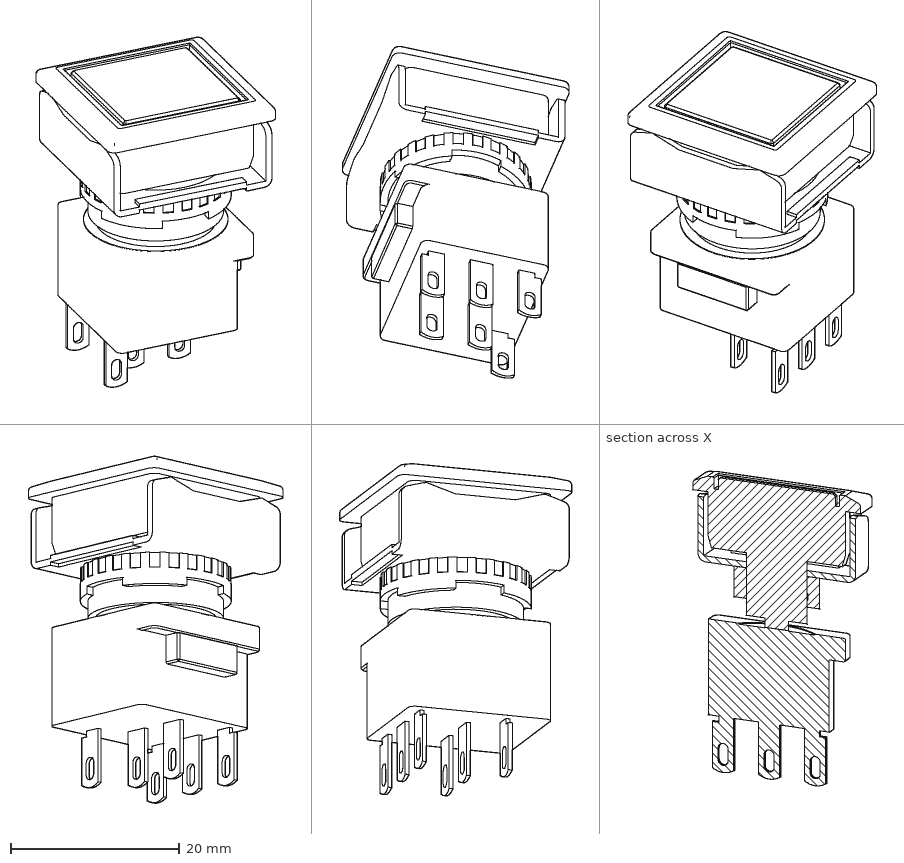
import cadquery as cq
BLOCK_BOTTOM_Z = 6.97
BLOCK_TOP_Z = 19.05
NECK_TOP_Z = 20.1
NUT_BOTTOM_Z = 22.2
CLIP_BOTTOM_Z = 26.05
TAPER_BOTTOM_Z = 27.95
TAPER_TOP_Z = 29.37
BEZEL_BOTTOM_Z = 34.87
RIM_Z = 36.9

BEZEL_WIDTH = 22.0
BEZEL_EDGE_Z = 36.05
RIM_WIDTH = 18.0
BEZEL_CORNER_RADIUS = 1.0
BEZEL_EDGE_RADIUS = 0.5
OPENING_WIDTH = 16.3
OPENING_CHAMFER = 0.15
BUTTON_WIDTH = 15.35
BUTTON_CHAMFER = 0.3
BUTTON_CORNER_CHAMFER = 0.25
GROOVE_DEPTH = 1.48
BODY_WIDTH = 18.0
BODY_CORNER_RADIUS = 1.0
TAPER_INSET = 0.45
THREAD_DIAMETER = 16.15
NECK_DIAMETER = 14.4

CLIP_LENGTH = 21.25
CLIP_WIDTH = 20.65
SHEET = 0.8
CLIP_BEND_RADIUS = 1.07
CLIP_PEAK_Z = 34.35
CLIP_PEAK_X = 7.53
CLIP_VALLEY_Z = 33.3
CLIP_VALLEY_X = 3.8
CLIP_CORNER_RADIUS = 1.0
STEP_LENGTH = 14.02
STEP_DEPTH = 1.33
STEP_RISE = 0.4

NUT_DIAMETER = 17.97
SLOT_COUNT = 24
SLOT_WIDTH = 1.25
SLOT_HEIGHT = 1.8
SLOT_DEPTH = 0.2
NOTCH_WIDTH = 6.05
NOTCH_HEIGHT = 0.95

BLOCK_WIDTH = 17.97
BLOCK_CORNER_RADIUS = 0.85
BLOCK_TOP_RADIUS = 0.2
RECESS_DIAMETER = 17.2
RECESS_DEPTH = 0.1
OVERHANG_BOTTOM_Z = 16.0
STEP_FACE_Y = 6.85
LEVER_WIDTH = 9.95
LEVER_BOTTOM_Z = 12.55
LEVER_CHAMFER = 0.22

TERMINAL_WIDTH = 2.8
TERMINAL_THICKNESS = 0.5
TIP_HEIGHT = 0.45
TIP_THICKNESS = 0.37
EYE_WIDTH = 1.25
EYE_BOTTOM_Z = 0.95
EYE_TOP_Z = 3.65
SHOULDER_WIDTH = 0.8
SHOULDER_HEIGHT = 0.7
TERMINALS = [
    (-7.0, -7.0, -1),
    (-7.0, -1.0, 0),
    (-7.0, 5.0, 1),
    (0, -3.03, 0),
    (0, 3.03, 0),
    (3.85, -7.0, -1),
]


def square_prism(width, bottom, top):
    """Square prism centred on the Z axis."""
    return cq.Workplane("XY").workplane(offset=bottom).rect(width, width).extrude(top - bottom)


def cylinder(diameter, bottom, top):
    """Round cylinder centred on the Z axis."""
    return cq.Workplane("XY").workplane(offset=bottom).circle(diameter / 2).extrude(top - bottom)


def make_bezel():
    """Square flange with a bevelled top, rounded along its corners and its upper outer edge."""
    height = RIM_Z - BEZEL_BOTTOM_Z
    bevel_run = (BEZEL_WIDTH - RIM_WIDTH) / 2
    bevel_rise = RIM_Z - BEZEL_EDGE_Z
    pyramid_width = RIM_WIDTH + 2 * height * bevel_run / bevel_rise
    pyramid = (
        cq.Workplane("XY")
        .workplane(offset=BEZEL_BOTTOM_Z)
        .rect(pyramid_width, pyramid_width)
        .workplane(offset=height)
        .rect(RIM_WIDTH, RIM_WIDTH)
        .loft(ruled=True)
        .edges("not(#Z)")
        .fillet(BEZEL_CORNER_RADIUS)
    )
    sides = square_prism(BEZEL_WIDTH, BEZEL_BOTTOM_Z, RIM_Z).edges("|Z").fillet(BEZEL_CORNER_RADIUS)
    bezel = sides.intersect(pyramid)
    half_width = BEZEL_WIDTH / 2
    band_half_height = 0.2
    edge_band = cq.selectors.BoxSelector(
        (-half_width, -half_width, BEZEL_EDGE_Z - band_half_height),
        (half_width, half_width, BEZEL_EDGE_Z + band_half_height),
    )
    return bezel.edges(edge_band).edges("not(|Z)").fillet(BEZEL_EDGE_RADIUS)


def make_housing():
    """Bezel with its button, square body with a tapered foot, thread and neck."""
    opening_bottom = RIM_Z - GROOVE_DEPTH
    opening = square_prism(OPENING_WIDTH, opening_bottom, RIM_Z)
    opening_lip = (
        cq.Workplane("XY")
        .workplane(offset=RIM_Z - OPENING_CHAMFER)
        .rect(OPENING_WIDTH, OPENING_WIDTH)
        .workplane(offset=OPENING_CHAMFER)
        .rect(OPENING_WIDTH + 2 * OPENING_CHAMFER, OPENING_WIDTH + 2 * OPENING_CHAMFER)
        .loft(ruled=True)
    )
    button = square_prism(BUTTON_WIDTH, opening_bottom, RIM_Z).edges("|Z").chamfer(BUTTON_CORNER_CHAMFER)
    button = button.faces(">Z").edges().chamfer(BUTTON_CHAMFER)
    body = square_prism(BODY_WIDTH, TAPER_BOTTOM_Z, BEZEL_BOTTOM_Z)
    body = body.edges("|Z").fillet(BODY_CORNER_RADIUS)
    body = body.faces("<Z").edges().chamfer(TAPER_TOP_Z - TAPER_BOTTOM_Z, TAPER_INSET)
    thread = cylinder(THREAD_DIAMETER, NECK_TOP_Z, TAPER_BOTTOM_Z)
    neck = cylinder(NECK_DIAMETER, BLOCK_TOP_Z - RECESS_DEPTH, NECK_TOP_Z)
    housing = make_bezel().cut(opening).cut(opening_lip).union(button)
    return housing.union(body).union(thread).union(neck)


def make_clip():
    """U-shaped sheet around the thread, with wavy side plates and a raised strip at each open end."""
    half_width = CLIP_WIDTH / 2
    channel = (
        cq.Workplane("XY")
        .box(CLIP_LENGTH, CLIP_WIDTH, CLIP_PEAK_Z - CLIP_BOTTOM_Z, centered=(True, True, False))
        .edges("|X and <Z")
        .fillet(CLIP_BEND_RADIUS)
        .translate((0, 0, CLIP_BOTTOM_Z))
    )
    inside = (
        cq.Workplane("XY")
        .box(CLIP_LENGTH, CLIP_WIDTH - 2 * SHEET, CLIP_PEAK_Z, centered=(True, True, False))
        .translate((0, 0, CLIP_BOTTOM_Z + SHEET))
    )

    slope = (CLIP_PEAK_Z - CLIP_VALLEY_Z) / (CLIP_PEAK_X - CLIP_VALLEY_X)
    half_length = CLIP_LENGTH / 2
    shoulder_z = CLIP_PEAK_Z - slope * (half_length - CLIP_PEAK_X)
    side_outline = (
        cq.Workplane("XZ")
        .polyline([
            (-half_length, CLIP_BOTTOM_Z),
            (-half_length, shoulder_z),
            (-CLIP_PEAK_X, CLIP_PEAK_Z),
            (-CLIP_VALLEY_X, CLIP_VALLEY_Z),
            (CLIP_VALLEY_X, CLIP_VALLEY_Z),
            (CLIP_PEAK_X, CLIP_PEAK_Z),
            (half_length, shoulder_z),
            (half_length, CLIP_BOTTOM_Z),
        ])
        .close()
        .extrude(half_width, both=True)
    )
    top_corners = side_outline.edges("|Y and (<X or >X)").edges(">Z")
    side_outline = top_corners.fillet(CLIP_CORNER_RADIUS)

    clip = channel.cut(inside).intersect(side_outline)
    for side in (-1, 1):
        strip_x = side * (CLIP_LENGTH - STEP_DEPTH) / 2
        strip = cq.Workplane("XY").box(STEP_DEPTH, STEP_LENGTH, STEP_RISE, centered=(True, True, False))
        clip = clip.union(strip.translate((strip_x, 0, CLIP_BOTTOM_Z + SHEET)))
        clip = clip.cut(strip.translate((strip_x, 0, CLIP_BOTTOM_Z)))
    return clip.cut(cylinder(THREAD_DIAMETER, CLIP_BOTTOM_Z, CLIP_PEAK_Z))


def make_nut():
    """Ring nut with grip slots around its upper edge and four spanner notches in its lower face."""
    nut = cylinder(NUT_DIAMETER, NUT_BOTTOM_Z, CLIP_BOTTOM_Z)
    nut = nut.cut(cylinder(THREAD_DIAMETER, NUT_BOTTOM_Z, CLIP_BOTTOM_Z))
    slot_bottom = CLIP_BOTTOM_Z - SLOT_HEIGHT
    slots = (
        cq.Workplane("XY")
        .workplane(offset=slot_bottom)
        .polarArray(NUT_DIAMETER / 2, 0, 360, SLOT_COUNT)
        .rect(NUT_DIAMETER / 4, SLOT_WIDTH)
        .extrude(SLOT_HEIGHT)
        .cut(cylinder(NUT_DIAMETER - 2 * SLOT_DEPTH, slot_bottom, CLIP_BOTTOM_Z))
    )
    notch_bar = cq.Workplane("XY").box(
        NUT_DIAMETER, NOTCH_WIDTH, NOTCH_HEIGHT, centered=(True, True, False)
    ).translate((0, 0, NUT_BOTTOM_Z))
    crossing_bar = notch_bar.rotate((0, 0, 0), (0, 0, 1), 90)
    return nut.cut(slots).cut(notch_bar).cut(crossing_bar)


def make_terminal(x, y, shoulder_side):
    """Flat solder tag with a rounded tip, an eye and an optional notched shoulder."""
    half_width = TERMINAL_WIDTH / 2
    tag = (
        cq.Workplane("YZ")
        .moveTo(-half_width, BLOCK_BOTTOM_Z)
        .lineTo(-half_width, TIP_HEIGHT)
        .threePointArc((0, 0), (half_width, TIP_HEIGHT))
        .lineTo(half_width, BLOCK_BOTTOM_Z)
        .close()
        .extrude(TERMINAL_THICKNESS / 2, both=True)
    )
    eye = (
        cq.Workplane("YZ")
        .center(0, (EYE_BOTTOM_Z + EYE_TOP_Z) / 2)
        .slot2D(EYE_TOP_Z - EYE_BOTTOM_Z, EYE_WIDTH, 90)
        .extrude(TERMINAL_THICKNESS, both=True)
    )
    half_thickness = TERMINAL_THICKNESS / 2
    half_tip = TIP_THICKNESS / 2
    edge_outline = (
        cq.Workplane("XZ")
        .polyline([
            (-half_tip, 0),
            (half_tip, 0),
            (half_thickness, TIP_HEIGHT),
            (half_thickness, BLOCK_BOTTOM_Z),
            (-half_thickness, BLOCK_BOTTOM_Z),
            (-half_thickness, TIP_HEIGHT),
        ])
        .close()
        .extrude(TERMINAL_WIDTH, both=True)
    )
    tag = tag.cut(eye).intersect(edge_outline)
    if shoulder_side:
        notch = cq.Workplane("XY").box(TERMINAL_THICKNESS, SHOULDER_WIDTH, SHOULDER_HEIGHT)
        notch_y = shoulder_side * (half_width - SHOULDER_WIDTH / 2)
        tag = tag.cut(notch.translate((0, notch_y, BLOCK_BOTTOM_Z - SHOULDER_HEIGHT / 2)))
    return tag.translate((x, y, 0))


def make_block():
    """Switch block with an overhang and lever on its +Y side, a shallow top recess and terminals."""
    half_width = BLOCK_WIDTH / 2
    upper = square_prism(BLOCK_WIDTH, OVERHANG_BOTTOM_Z, BLOCK_TOP_Z)
    upper = upper.edges("|Z").fillet(BLOCK_CORNER_RADIUS)
    upper = upper.faces(">Z").edges().fillet(BLOCK_TOP_RADIUS)
    upper = upper.faces("<Z").edges().chamfer(LEVER_CHAMFER)
    lower_height = OVERHANG_BOTTOM_Z + LEVER_CHAMFER - BLOCK_BOTTOM_Z
    lower = (
        cq.Workplane("XY")
        .workplane(offset=BLOCK_BOTTOM_Z)
        .center(0, (STEP_FACE_Y - half_width) / 2)
        .rect(BLOCK_WIDTH, STEP_FACE_Y + half_width)
        .extrude(lower_height)
        .edges("|Z")
        .fillet(BLOCK_CORNER_RADIUS)
    )
    lever = (
        cq.Workplane("XY")
        .workplane(offset=LEVER_BOTTOM_Z)
        .center(0, half_width / 2)
        .rect(LEVER_WIDTH, half_width)
        .extrude(OVERHANG_BOTTOM_Z - LEVER_BOTTOM_Z)
        .edges("<Z or (|Z and >Y)")
        .chamfer(LEVER_CHAMFER)
    )
    block = upper.union(lower).union(lever)
    block = block.cut(cylinder(RECESS_DIAMETER, BLOCK_TOP_Z - RECESS_DEPTH, BLOCK_TOP_Z))
    for x, y, shoulder_side in TERMINALS:
        block = block.union(make_terminal(x, y, shoulder_side))
    return block


housing = make_housing()
clip = make_clip()
nut = make_nut()
block = make_block()

result = cq.Compound.makeCompound([housing.val(), clip.val(), nut.val(), block.val()])